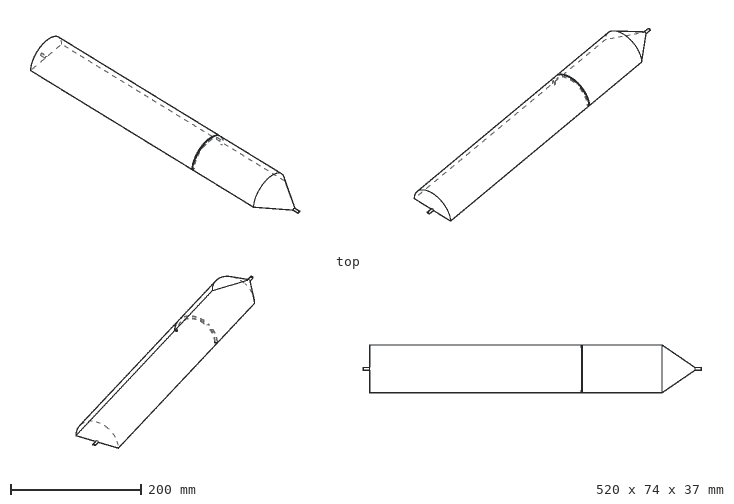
import cadquery as cq

total_length = 520.0
body_radius = 37.0
pin_radius = 2.4
pin_length = 10.0

body_start = pin_length
cone_start = 459.5
cone_end = total_length - pin_length

groove_start = 335.5
groove_width = 1.5
groove_depth = 4.0
groove_end = groove_start + groove_width
groove_radius = body_radius - groove_depth


def half_revolved_body():
    """Revolve the pin, grooved body and cone profile through the half above Z = 0."""
    profile = (
        cq.Workplane("XY")
        .moveTo(0, 0)
        .lineTo(0, pin_radius)
        .lineTo(body_start, pin_radius)
        .lineTo(body_start, body_radius)
        .lineTo(groove_start, body_radius)
        .lineTo(groove_start, groove_radius)
        .lineTo(groove_end, groove_radius)
        .lineTo(groove_end, body_radius)
        .lineTo(cone_start, body_radius)
        .lineTo(cone_end, pin_radius)
        .lineTo(total_length, pin_radius)
        .lineTo(total_length, 0)
        .close()
    )
    return profile.revolve(180, (0, 0, 0), (1, 0, 0))


result = half_revolved_body()